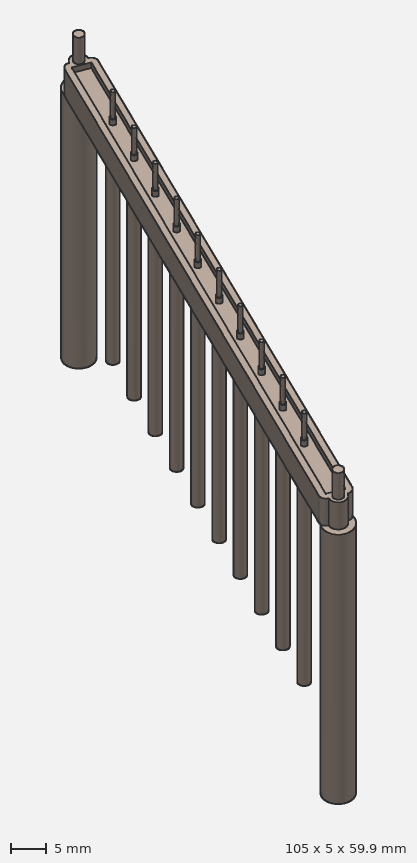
import cadquery as cq

length = 105.0
width = 5.0
bar_height = 5.0
leg_length = 50.0
tip_height = 4.9

leg_diameter = width
leg_x = length / 2 - leg_diameter / 2
guide_diameter = 1.7

nose_diameter = 2.8
corner_radius = 1.0
body_length = 2 * leg_x

channel_length = 97.9
channel_width = 2.9
channel_depth = 1.0

pin_count = 10
pin_pitch = 8.2
tail_diameter = 2.0
tail_length = 40.0
contact_diameter = 0.67
collar_diameter = 1.0


def cylinder(x, diameter, bottom, top):
    """Upright cylinder on the long centre line of the part."""
    base = cq.Workplane("XY", origin=(x, 0, bottom))
    return base.circle(diameter / 2).extrude(top - bottom)


def make_bar():
    """Bar standing on Z = 0, with its end noses and top channel."""
    body = cq.Workplane("XY").rect(body_length, width).extrude(bar_height)
    bar = body.edges("|Z").fillet(corner_radius)
    for x in (-leg_x, leg_x):
        bar = bar.union(cylinder(x, nose_diameter, 0, bar_height))
    channel = (
        cq.Workplane("XY", origin=(0, 0, bar_height - channel_depth))
        .rect(channel_length, channel_width)
        .extrude(channel_depth)
    )
    return bar.cut(channel)


tip_z = bar_height + tip_height
result = make_bar()

for x in (-leg_x, leg_x):
    result = result.union(cylinder(x, leg_diameter, -leg_length, 0))
    result = result.union(cylinder(x, guide_diameter, 0, tip_z))

for index in range(pin_count):
    x = (index - (pin_count - 1) / 2) * pin_pitch
    result = result.union(cylinder(x, tail_diameter, -tail_length, 0))
    result = result.union(cylinder(x, collar_diameter, 0, bar_height))
    result = result.union(cylinder(x, contact_diameter, 0, tip_z))